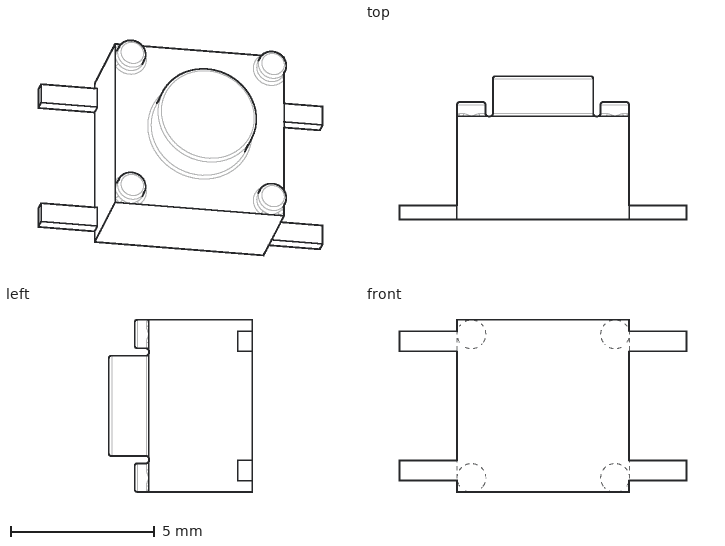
import cadquery as cq

body_side = 6.0
body_depth = 3.6

button_diameter = 3.5
button_height = 1.4

peg_diameter = 1.0
peg_height = 0.5
peg_setback = 0.001
peg_offset = (body_side - peg_diameter) / 2 - peg_setback

lead_span = 10.0
lead_width = 0.7
lead_thickness = 0.5
lead_pitch = 4.5

edge_radius = 0.1


def make_body():
    """Plain housing block standing on the mounting plane."""
    return cq.Workplane("XY").box(body_side, body_depth, body_side, centered=(True, False, True))


def make_lead_bar(z):
    """One bar through the housing, forming the two opposite leads at height z."""
    bar = cq.Workplane("XY").box(lead_span, lead_thickness, lead_width, centered=(True, False, True))
    return bar.translate((0, 0, z))


def make_post(x, z, diameter, height):
    """Cylinder rising from the button side of the housing."""
    return cq.Workplane("XZ", origin=(x, body_depth, z)).circle(diameter / 2).extrude(-height)


def round_posts(solid):
    """Fillet the base and the tip of every post; at the housing sides the base fillets run out."""
    return solid.edges("%CIRCLE").fillet(edge_radius)


result = make_body().union(make_post(0, 0, button_diameter, button_height))

for x in (-peg_offset, peg_offset):
    for z in (-peg_offset, peg_offset):
        result = result.union(make_post(x, z, peg_diameter, peg_height))

result = round_posts(result)

for z in (-lead_pitch / 2, lead_pitch / 2):
    result = result.union(make_lead_bar(z))